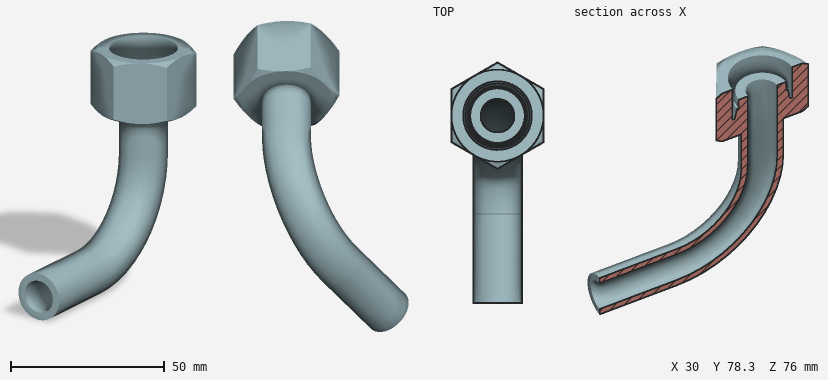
import cadquery as cq
import math

length_y = 78.3
height_z = 76.0

tube_diameter = 16.0
bore_diameter = 11.0
bend_radius = 31.95

nut_flats = 30.0
nut_height = 21.0
nut_bore_diameter = 22.4
nut_chamfer_angle = 30.0

nipple_face_depth = 5.4
nipple_face_radius = 8.85
nipple_base_radius = 10.5
nipple_half_angle = 12.0
groove_start_radius = 9.25
groove_end_radius = 9.6
groove_floor_radius = 9.0

tube_radius = tube_diameter / 2
nut_corner_diameter = nut_flats / math.cos(math.radians(30))
nut_top = height_z - tube_radius
nut_bottom = nut_top - nut_height
tube_end_y = nut_corner_diameter / 2 - length_y
nipple_slope = math.tan(math.radians(nipple_half_angle))
nipple_face_z = nut_top - nipple_face_depth


def cone_height(radius):
    """Z of the nipple cone at the given radius."""
    return nipple_face_z - (radius - nipple_face_radius) / nipple_slope


nut_floor = cone_height(nipple_base_radius)


def swept_rod(diameter, top):
    """Round rod along the tube axis, from its horizontal end up to the given Z."""
    bend_mid_offset = bend_radius * (1 - math.cos(math.radians(45)))
    axis = (
        cq.Workplane("YZ")
        .moveTo(tube_end_y, 0)
        .lineTo(-bend_radius, 0)
        .threePointArc((-bend_mid_offset, bend_mid_offset), (0, bend_radius))
        .lineTo(0, top)
    )
    section = cq.Workplane("XZ", origin=(0, tube_end_y, 0)).circle(diameter / 2)
    return section.sweep(axis)


def make_nut():
    """Hexagon with conical end chamfers that start at the flats, bored from the top."""
    hexagon = (
        cq.Workplane("XY", origin=(0, 0, nut_bottom))
        .polygon(6, nut_corner_diameter)
        .extrude(nut_height)
        .rotate((0, 0, 0), (0, 0, 1), 30)
    )
    flat_radius = nut_flats / 2
    corner_radius = nut_corner_diameter / 2
    corner_drop = (corner_radius - flat_radius) * math.tan(math.radians(nut_chamfer_angle))
    chamfer_envelope = (
        cq.Workplane("XZ")
        .moveTo(0, nut_bottom)
        .lineTo(flat_radius, nut_bottom)
        .lineTo(corner_radius, nut_bottom + corner_drop)
        .lineTo(corner_radius, nut_top - corner_drop)
        .lineTo(flat_radius, nut_top)
        .lineTo(0, nut_top)
        .close()
        .revolve(360, (0, 0), (0, 1))
    )
    bore = (
        cq.Workplane("XY", origin=(0, 0, nut_floor))
        .circle(nut_bore_diameter / 2)
        .extrude(nut_top - nut_floor)
    )
    return hexagon.intersect(chamfer_envelope).cut(bore)


def make_nipple():
    """Cone rising from the nut floor, interrupted by the seal groove."""
    groove_top = cone_height(groove_start_radius)
    groove_bottom = cone_height(groove_end_radius)
    return (
        cq.Workplane("XZ")
        .moveTo(0, nut_bottom)
        .lineTo(nipple_base_radius, nut_bottom)
        .lineTo(nipple_base_radius, nut_floor)
        .lineTo(groove_end_radius, groove_bottom)
        .lineTo(groove_floor_radius, groove_bottom)
        .lineTo(groove_floor_radius, groove_top)
        .lineTo(groove_start_radius, groove_top)
        .lineTo(nipple_face_radius, nipple_face_z)
        .lineTo(0, nipple_face_z)
        .close()
        .revolve(360, (0, 0), (0, 1))
    )


tube = swept_rod(tube_diameter, nut_floor)
passage = swept_rod(bore_diameter, nut_top)
result = make_nut().union(make_nipple()).union(tube).cut(passage)